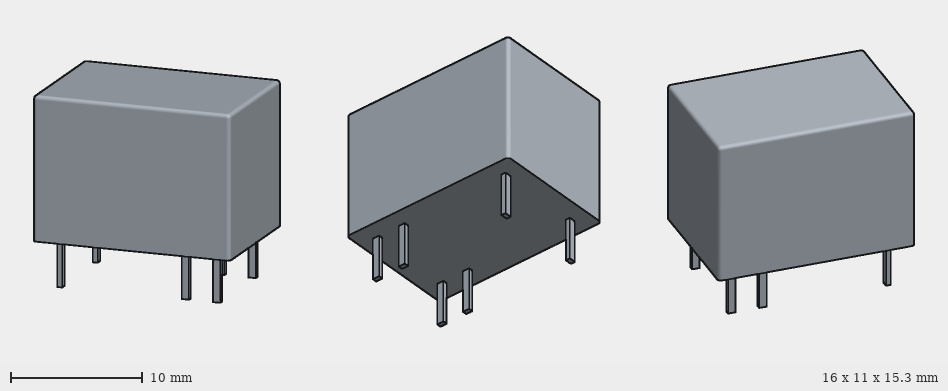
import cadquery as cq

length = 16.0
width = 11.0
total_height = 15.3

pin_length = 3.8
housing_height = total_height - pin_length
edge_radius = 0.3

pin_thickness = 0.4
pin_width = 0.6
end_pin_x = 6.35
contact_pitch = 2.55
pin_row_y = 3.8


def make_housing():
    """Box with rounded upright and top edges and a sharp flat base."""
    return (
        cq.Workplane("XY")
        .box(length, width, housing_height, centered=(True, True, False))
        .edges("|Z or >Z")
        .fillet(edge_radius)
    )


def make_pin(x, y, size_x, size_y):
    """Straight pin hanging from the housing base at z = 0."""
    return (
        cq.Workplane("XY")
        .center(x, y)
        .rect(size_x, size_y)
        .extrude(-pin_length)
    )


housing = make_housing()

coil_pins = []
contact_pins = []
for row_y in (-pin_row_y, pin_row_y):
    coil_pins.append(make_pin(-end_pin_x, row_y, pin_thickness, pin_width))
    for contact_x in (end_pin_x - contact_pitch, end_pin_x):
        contact_pins.append(make_pin(contact_x, row_y, pin_width, pin_thickness))

result = cq.Compound.makeCompound(
    [housing.val()] + [pin.val() for pin in coil_pins + contact_pins]
)